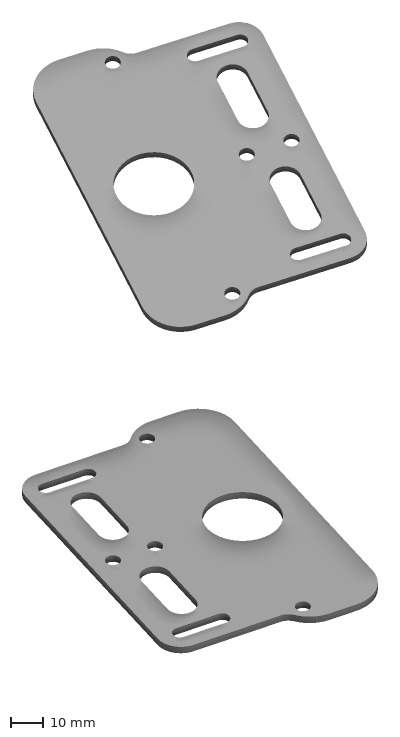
import cadquery as cq
import math

WIDTH = 113.0
DEPTH = 75.0
THICKNESS = 2.5
SEAM_Y = 45.0
REAR_WIDTH = 100.0
REAR_CORNER_RADIUS = 8.1
EAR_RADIUS = 12.8
EAR_CENTER_Y = 22.4
NECK_RADIUS = 5.0

TONGUE_LENGTH = 1.5
TONGUE_SIDE_INSET = 0.1

SMALL_HOLE_DIAMETER = 5.0
CENTER_HOLE_DIAMETER = 25.0
CENTER_HOLE_Y = 21.6
EAR_HOLE_SPACING = 98.5
EAR_HOLE_Y = 27.8
SLOT_ROW_Y = 60.0
REAR_HOLE_SPACING = 14.9
SIDE_SLOT_SPACING = 84.9
SIDE_SLOT_LENGTH = 20.0
SIDE_SLOT_WIDTH = SMALL_HOLE_DIAMETER
WIDE_SLOT_SPACING = 43.5
WIDE_SLOT_LENGTH = 26.4
WIDE_SLOT_WIDTH = 10.0


def seam_prism(width):
    """Triangular prism of the given width along the seam, pointing toward the front edge."""
    return (
        cq.Workplane("YZ", origin=(-width / 2, 0, 0))
        .moveTo(SEAM_Y, 0)
        .lineTo(SEAM_Y - TONGUE_LENGTH, THICKNESS / 2)
        .lineTo(SEAM_Y, THICKNESS)
        .close()
        .extrude(width)
    )


def slot_cutter(spacing, length, width, angle):
    """A mirrored pair of through slots on the slot row."""
    return (
        cq.Workplane("XY")
        .pushPoints([(-spacing / 2, SLOT_ROW_Y), (spacing / 2, SLOT_ROW_Y)])
        .slot2D(length, width, angle)
        .extrude(THICKNESS)
    )


def hole_cutter(points, diameter):
    """Through holes at the given points."""
    return cq.Workplane("XY").pushPoints(points).circle(diameter / 2).extrude(THICKNESS)


def make_rear_plate():
    """Slotted plate with rounded rear corners and a tongue along its front."""
    length = DEPTH - SEAM_Y
    plate = (
        cq.Workplane("XY", origin=(0, SEAM_Y + length / 2, 0))
        .box(REAR_WIDTH, length, THICKNESS, centered=(True, True, False))
        .edges("|Z and >Y")
        .fillet(REAR_CORNER_RADIUS)
    )
    rear_holes = [(0, SLOT_ROW_Y + side * REAR_HOLE_SPACING / 2) for side in (-1, 1)]
    return (
        plate.union(seam_prism(REAR_WIDTH - 2 * TONGUE_SIDE_INSET))
        .cut(slot_cutter(SIDE_SLOT_SPACING, SIDE_SLOT_LENGTH, SIDE_SLOT_WIDTH, 90))
        .cut(slot_cutter(WIDE_SLOT_SPACING, WIDE_SLOT_LENGTH, WIDE_SLOT_WIDTH, 0))
        .cut(hole_cutter(rear_holes, SMALL_HOLE_DIAMETER))
    )


def front_half_outline():
    """Left half of the front plate, closed along the plane of symmetry."""
    edge_x = -WIDTH / 2
    side_x = -REAR_WIDTH / 2
    ear_x = edge_x + EAR_RADIUS
    diagonal = EAR_RADIUS * math.sqrt(0.5)

    neck_x = side_x - NECK_RADIUS
    center_distance = EAR_RADIUS + NECK_RADIUS
    neck_y = EAR_CENTER_Y + math.sqrt(center_distance**2 - (ear_x - neck_x) ** 2)
    neck_angle = math.atan2(neck_y - EAR_CENTER_Y, neck_x - ear_x)
    ear_mid_angle = (neck_angle + math.pi) / 2
    neck_mid_angle = (neck_angle - math.pi) / 2

    def on_arc(x, y, radius, angle):
        return (x + radius * math.cos(angle), y + radius * math.sin(angle))

    return (
        cq.Workplane("XY")
        .lineTo(ear_x, 0)
        .threePointArc((ear_x - diagonal, EAR_RADIUS - diagonal), (edge_x, EAR_RADIUS))
        .lineTo(edge_x, EAR_CENTER_Y)
        .threePointArc(
            on_arc(ear_x, EAR_CENTER_Y, EAR_RADIUS, ear_mid_angle),
            on_arc(ear_x, EAR_CENTER_Y, EAR_RADIUS, neck_angle),
        )
        .threePointArc(
            on_arc(neck_x, neck_y, NECK_RADIUS, neck_mid_angle),
            (side_x, neck_y),
        )
        .lineTo(side_x, SEAM_Y)
        .lineTo(0, SEAM_Y)
        .close()
    )


def make_front_plate():
    """Eared plate with a large central hole and a V groove along its rear."""
    half = front_half_outline().extrude(THICKNESS)
    ear_holes = [(side * EAR_HOLE_SPACING / 2, EAR_HOLE_Y) for side in (-1, 1)]
    return (
        half.union(half.mirror("YZ"))
        .cut(seam_prism(REAR_WIDTH))
        .cut(hole_cutter([(0, CENTER_HOLE_Y)], CENTER_HOLE_DIAMETER))
        .cut(hole_cutter(ear_holes, SMALL_HOLE_DIAMETER))
    )


rear_plate = make_rear_plate()
front_plate = make_front_plate()
result = cq.Compound.makeCompound([rear_plate.val(), front_plate.val()])